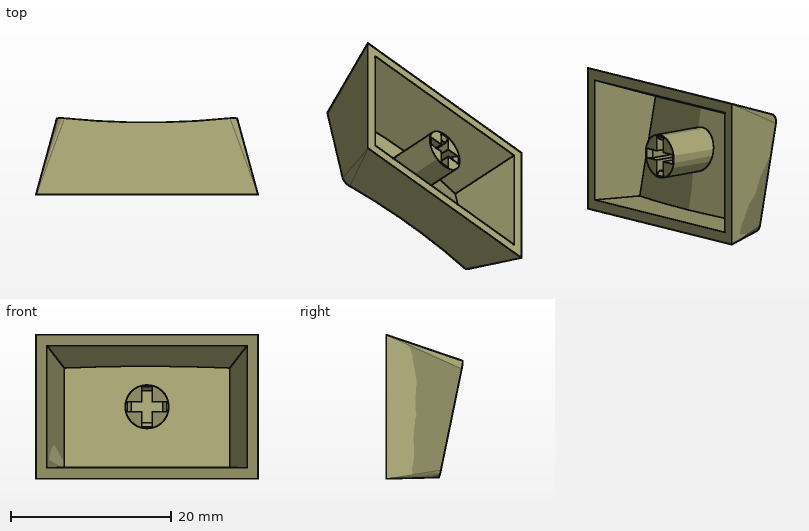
import cadquery as cq
import math

rim_width = 27.75
rim_height = 18.0
rim_wall = 1.35
rim_corner_radius = 0.005

top_width = 22.6
top_corner_radius = 1.0
top_lower_edge = (6.65, -8.85)
top_upper_edge = (9.65, 5.72)

floor_width = 20.65
floor_lower_edge = (5.5, -7.55)
floor_upper_edge = (8.08, 4.83)
sharp_corner = 0.0

dish_depth = 0.67

stem_diameter = 5.45
cross_length_x = 3.95
cross_length_z = 4.02
cross_slot_x = 1.2
cross_slot_z = 1.25
cross_chamfer = 0.5
reach = 13.88


def tilted_plane(lower, upper):
    """Plane centred midway between two edges: x along X, y up the slope, normal towards the rim."""
    rise_y = upper[0] - lower[0]
    rise_z = upper[1] - lower[1]
    middle = (0, (lower[0] + upper[0]) / 2, (lower[1] + upper[1]) / 2)
    return cq.Plane(origin=middle, xDir=(1, 0, 0), normal=(0, -rise_z, rise_y))


def section(plane, width, height, radius):
    """Rectangular wire on a plane, with rounded corners when a radius is given."""
    outline = cq.Sketch().rect(width, height)
    if radius > 0:
        outline = outline.vertices().fillet(radius)
    return outline.reset().faces().val().outerWire().moved(cq.Location(plane))


def dished_frustum(rim_size, rim_radius, width, lower, upper, radius):
    """Straight-sided block from the rim plane to a tilted end face, with the dish taken out of it."""
    plane = tilted_plane(lower, upper)
    slope_length = math.dist(lower, upper)
    rim = section(cq.Plane.named("XZ"), *rim_size, rim_radius)
    end = section(plane, width, slope_length, radius)
    block = cq.Workplane(cq.Solid.makeLoft([rim, end], True))

    dish_radius = ((width / 2) ** 2 + dish_depth**2) / (2 * dish_depth)
    axis_offset = dish_radius - dish_depth
    axis_start = plane.toWorldCoords((0, -slope_length, -axis_offset))
    dish = cq.Solid.makeCylinder(dish_radius, 2 * slope_length, axis_start, plane.yDir)
    return block.cut(cq.Workplane(dish))


def socket_arm(length_x, length_z, chamfer_x, chamfer_z):
    """One bar of the cross, with its two ends flared at the rim."""
    bar = cq.Workplane("XZ").rect(length_x, length_z).extrude(-reach)
    flare = (
        cq.Workplane("XZ")
        .rect(length_x + 2 * chamfer_x, length_z + 2 * chamfer_z)
        .workplane(offset=-cross_chamfer)
        .rect(length_x, length_z)
        .loft(ruled=True)
    )
    return bar.union(flare)


outer = dished_frustum(
    (rim_width, rim_height), rim_corner_radius,
    top_width, top_lower_edge, top_upper_edge, top_corner_radius,
)
cavity = dished_frustum(
    (rim_width - 2 * rim_wall, rim_height - 2 * rim_wall), sharp_corner,
    floor_width, floor_lower_edge, floor_upper_edge, sharp_corner,
)

stem = cq.Workplane("XZ").circle(stem_diameter / 2).extrude(-reach)
stem = stem.cut(socket_arm(cross_length_x, cross_slot_x, cross_chamfer, 0))
stem = stem.cut(socket_arm(cross_slot_z, cross_length_z, 0, cross_chamfer))

result = outer.cut(cavity.cut(stem))